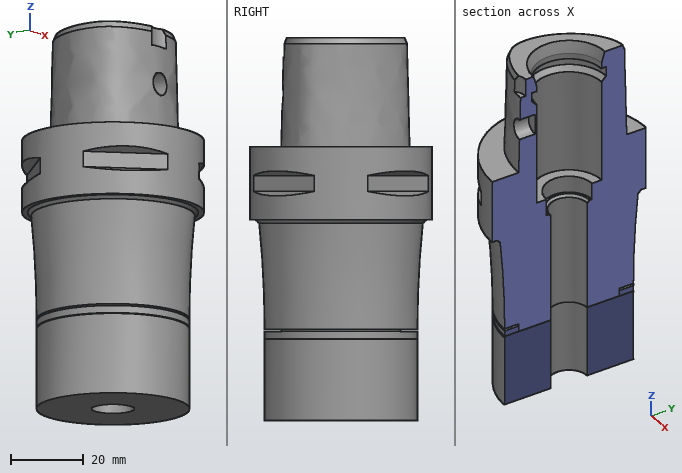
import cadquery as cq
import math

total_height = 105.0
shank_height = 29.9
flange_height = 20.1
neck_bottom_z = 25.0
ring_gap = 0.5
ring_height = 2.0
shank_base_z = total_height - shank_height
flange_bottom_z = shank_base_z - flange_height
ring_top_z = neck_bottom_z - ring_gap
ring_bottom_z = ring_top_z - ring_height

flange_radius = 25.0
undercut_top_radius = 23.4
neck_top_radius = 22.5
neck_radius = 21.0
spigot_radius = 16.4
undercut_height = undercut_top_radius - neck_top_radius
neck_top_z = flange_bottom_z - undercut_height

shank_mean_radius = 17.6
lobe_height = 1.22
taper_ratio = 1 / 40
shank_chamfer_height = 1.7
shank_chamfer_width = 0.7
outline_points = 48

notch_radius = 4.6
notch_depth = 5.5
notch_wall_y = 14.2
coding_hole_radius = 3.2
coding_hole_z = 89.0
coding_hole_floor_y = 11.1

slot_count = 4
first_slot_angle = 45
slot_floor_distance = 22.0
slot_z = 65.0
slot_floor_height = 4.3
slot_mouth_height = 6.8

mouth_radius = 11.5
lip_radius = 10.5
lip_cone_depth = 3.5
lip_depth = 5.4
groove_radius = 12.0
groove_wall_depth = 8.2
bore_radius = 10.5
bore_depth = 42.0
counterbore_radius = 7.4
counterbore_depth = 47.2
countersink_radius = 6.6
passage_radius = 5.9
groove_end_depth = groove_wall_depth + groove_radius - bore_radius
countersink_depth = counterbore_depth + countersink_radius - passage_radius

sleeve_chamfer = 0.2


def lobed_point(mean_radius, angle):
    """Point of a constant-width three-lobed curve with one lobe toward +Y."""
    turn = angle - math.pi / 2
    support = mean_radius + lobe_height * math.cos(3 * turn)
    slope = -3 * lobe_height * math.sin(3 * turn)
    x = support * math.cos(angle) - slope * math.sin(angle)
    y = support * math.sin(angle) + slope * math.cos(angle)
    return (x, y)


def lobed_frustum(bottom_z, bottom_radius, top_z, top_radius):
    """Loft between two lobed outlines of different mean radius."""
    angles = [2 * math.pi * i / outline_points - math.pi / 2 for i in range(outline_points)]
    bottom_outline = [lobed_point(bottom_radius, angle) for angle in angles]
    top_outline = [lobed_point(top_radius, angle) for angle in angles]
    return (
        cq.Workplane("XY", origin=(0, 0, bottom_z))
        .spline(bottom_outline, periodic=True)
        .close()
        .workplane(offset=top_z - bottom_z)
        .spline(top_outline, periodic=True)
        .close()
        .loft(ruled=True, combine=True)
    )


def make_shank():
    """Lobed taper with a steep chamfer around its top edge."""
    chamfer_z = total_height - shank_chamfer_height
    chamfer_radius = shank_mean_radius - (chamfer_z - shank_base_z) * taper_ratio
    top_radius = chamfer_radius - shank_chamfer_width
    taper = lobed_frustum(shank_base_z, shank_mean_radius, chamfer_z, chamfer_radius)
    tip = lobed_frustum(chamfer_z, chamfer_radius, total_height, top_radius)
    return taper.union(tip)


def make_turned_body():
    """Flange, flared neck and the spigot that carries the ring."""
    neck_length = neck_top_z - neck_bottom_z
    flare = neck_top_radius - neck_radius
    arc_radius = (neck_length**2 + flare**2) / (2 * flare)
    half_angle = math.asin(neck_length / arc_radius) / 2
    arc_middle = (
        neck_radius + arc_radius * (1 - math.cos(half_angle)),
        neck_bottom_z + arc_radius * math.sin(half_angle),
    )
    return (
        cq.Workplane("XZ")
        .moveTo(0, ring_bottom_z)
        .lineTo(spigot_radius, ring_bottom_z)
        .lineTo(spigot_radius, neck_bottom_z)
        .lineTo(neck_radius, neck_bottom_z)
        .threePointArc(arc_middle, (neck_top_radius, neck_top_z))
        .lineTo(undercut_top_radius, flange_bottom_z)
        .lineTo(flange_radius, flange_bottom_z)
        .lineTo(flange_radius, shank_base_z)
        .lineTo(0, shank_base_z)
        .close()
        .revolve(360, (0, 0, 0), (0, 1, 0))
    )


def make_holder_bore():
    """Conical mouth, lip, undercut groove, deep bore, counterbore and countersunk passage."""
    profile = [
        (mouth_radius, 0),
        (lip_radius, lip_cone_depth),
        (lip_radius, lip_depth),
        (groove_radius, lip_depth),
        (groove_radius, groove_wall_depth),
        (bore_radius, groove_end_depth),
        (bore_radius, bore_depth),
        (counterbore_radius, bore_depth),
        (counterbore_radius, counterbore_depth),
        (countersink_radius, counterbore_depth),
        (passage_radius, countersink_depth),
    ]
    points = [(radius, total_height - depth) for radius, depth in profile]
    points += [(passage_radius, ring_bottom_z), (0, ring_bottom_z), (0, total_height)]
    return cq.Workplane("XZ").polyline(points).close().revolve(360, (0, 0, 0), (0, 1, 0))


def make_gripper_slot(angle):
    """Trapezoidal cutter for a flat-floored slot across the flange rim."""
    half_floor = slot_floor_height / 2
    half_mouth = slot_mouth_height / 2
    return (
        cq.Workplane("XZ")
        .polyline(
            [
                (slot_floor_distance, slot_z - half_floor),
                (flange_radius, slot_z - half_mouth),
                (flange_radius, slot_z + half_mouth),
                (slot_floor_distance, slot_z + half_floor),
            ]
        )
        .close()
        .extrude(flange_radius, both=True)
        .rotate((0, 0, 0), (0, 0, 1), angle)
    )


def make_notch():
    """Upright round cutter for the notch in the shank's top edge."""
    notch_axis_y = -notch_wall_y - notch_radius
    return (
        cq.Workplane("XY", origin=(0, notch_axis_y, total_height - notch_depth))
        .circle(notch_radius)
        .extrude(notch_depth)
    )


def make_coding_hole():
    """Blind hole cutter that enters the shank from -Y."""
    return (
        cq.Workplane("XZ", origin=(0, -coding_hole_floor_y, coding_hole_z))
        .circle(coding_hole_radius)
        .extrude(flange_radius - coding_hole_floor_y)
    )


def make_holder():
    """Tool holder with its lobed shank, flange, neck and spigot."""
    holder = make_turned_body().union(make_shank())
    holder = holder.cut(make_holder_bore())
    holder = holder.cut(make_notch())
    holder = holder.cut(make_coding_hole())
    for i in range(slot_count):
        holder = holder.cut(make_gripper_slot(first_slot_angle + i * 360 / slot_count))
    return holder


def make_ring():
    """Thin ring around the spigot, resting on the sleeve."""
    return (
        cq.Workplane("XY", origin=(0, 0, ring_bottom_z))
        .circle(neck_radius)
        .circle(spigot_radius)
        .extrude(ring_height)
    )


def make_sleeve():
    """Cylindrical sleeve below the holder, bored through, with a broken top edge."""
    blank = cq.Workplane("XY").circle(neck_radius).extrude(ring_bottom_z)
    blank = blank.faces(">Z").chamfer(sleeve_chamfer)
    bore = cq.Workplane("XY").circle(passage_radius).extrude(ring_bottom_z)
    return blank.cut(bore)


holder = make_holder()
ring = make_ring()
sleeve = make_sleeve()

result = cq.Compound.makeCompound([holder.val(), ring.val(), sleeve.val()])